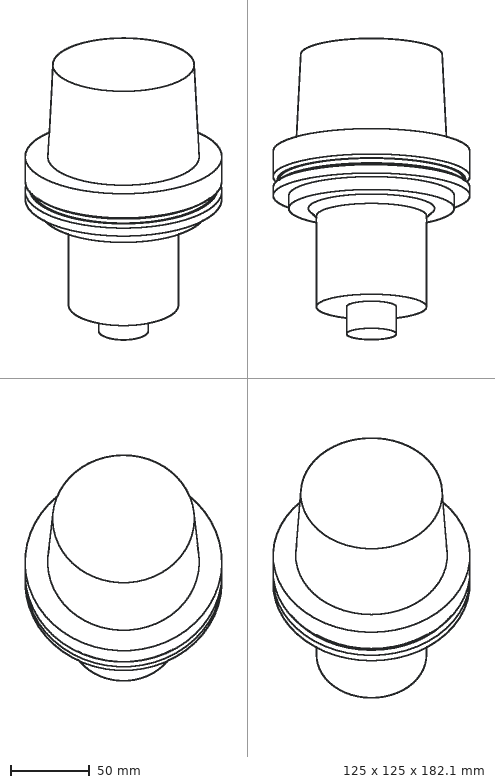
import cadquery as cq

total_height = 182.1
pin_top = 17.7
shank_top = 76.8
collar_bottom = 81.8
flange_bottom = 90.1
flange_top = 119.1

pin_diameter = 31.7
shank_diameter = 70.0
collar_diameter = 105.0
flange_diameter = 125.0
taper_base_diameter = 96.1
taper_ratio = 0.1

shoulder_diameter = 80.1

groove_floor_diameter = 117.0
groove_lip_diameter = 119.5
groove_center = 99.0
groove_mouth_width = 7.0
groove_floor_width = 3.3


def cylinder(diameter, bottom, top):
    return cq.Workplane("XY").workplane(offset=bottom).circle(diameter / 2).extrude(top - bottom)


def cone(bottom_diameter, top_diameter, bottom, top):
    outline = [
        (0, bottom),
        (bottom_diameter / 2, bottom),
        (top_diameter / 2, top),
        (0, top),
    ]
    return cq.Workplane("XZ").polyline(outline).close().revolve(360, (0, 0), (0, 1))


def flange_groove():
    floor_radius = groove_floor_diameter / 2
    lip_radius = groove_lip_diameter / 2
    mouth_radius = flange_diameter / 2
    outline = [
        (floor_radius, groove_center - groove_floor_width / 2),
        (lip_radius, groove_center - groove_floor_width / 2),
        (mouth_radius, groove_center - groove_mouth_width / 2),
        (mouth_radius, groove_center + groove_mouth_width / 2),
        (lip_radius, groove_center + groove_floor_width / 2),
        (floor_radius, groove_center + groove_floor_width / 2),
    ]
    return cq.Workplane("XZ").polyline(outline).close().revolve(360, (0, 0), (0, 1))


pin = cylinder(pin_diameter, 0, pin_top)
shank = cylinder(shank_diameter, pin_top, shank_top)
shoulder = cone(shank_diameter, shoulder_diameter, shank_top, collar_bottom)
collar = cylinder(collar_diameter, collar_bottom, flange_bottom)

flange = cylinder(flange_diameter, flange_bottom, flange_top).cut(flange_groove())
taper_tip_diameter = taper_base_diameter - taper_ratio * (total_height - flange_top)
taper = cone(taper_base_diameter, taper_tip_diameter, flange_top, total_height)

result = pin.union(shank).union(shoulder).union(collar).union(flange).union(taper)